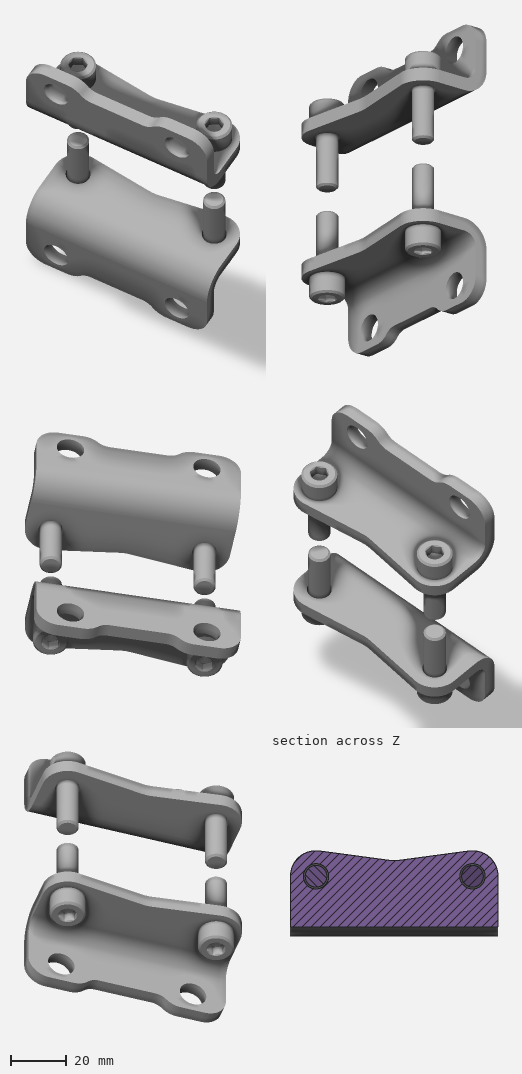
import cadquery as cq
import math

ASSEMBLY_HEIGHT = 108.0
BRACKET_LENGTH = 75.0
BRACKET_DEPTH = 31.0
BRACKET_HEIGHT = 29.0
PLATE_THICKNESS = 5.0
INNER_BEND_RADIUS = PLATE_THICKNESS
OUTER_BEND_RADIUS = INNER_BEND_RADIUS + PLATE_THICKNESS

FLANGE_CORNER_RADIUS = 8.0
MOUNTING_HOLE_DIAMETER = 10.0
MOUNTING_HOLE_SPACING = 50.0
MOUNTING_HOLE_EDGE_OFFSET = 8.0
NOTCH_DEPTH = 4.0
NOTCH_FLOOR_LENGTH = 21.3
NOTCH_FLOOR_RADIUS = 6.0
NOTCH_SHOULDER_RADIUS = 8.0

SCREW_CORNER_RADIUS = 9.3
CLEARANCE_HOLE_DIAMETER = 9.0
VALLEY_DEPTH = 3.6
VALLEY_RADIUS = 15.0

SHANK_DIAMETER = 8.0
SHANK_LENGTH = 25.0
SHANK_CHAMFER = 0.8
HEAD_DIAMETER = 13.0
HEAD_HEIGHT = 8.0
HEAD_CHAMFER = 0.8
HEAD_BASE_CHAMFER = 0.2
SOCKET_ACROSS_FLATS = 6.0
SOCKET_DEPTH = 4.0
SOCKET_POINT_ANGLE = 120.0
HEXAGON_HALF_SECTOR = 30.0

HALF_LENGTH = BRACKET_LENGTH / 2
BRACKET_TOP = ASSEMBLY_HEIGHT / 2
BRACKET_BOTTOM = BRACKET_TOP - BRACKET_HEIGHT
SEAT_Z = BRACKET_BOTTOM + PLATE_THICKNESS
SCREW_X = HALF_LENGTH - SCREW_CORNER_RADIUS
SCREW_Y = BRACKET_DEPTH - SCREW_CORNER_RADIUS
SOCKET_CORNER_DIAMETER = SOCKET_ACROSS_FLATS / math.cos(math.radians(HEXAGON_HALF_SECTOR))


def bent_plate():
    """L-shaped strip of constant thickness, extruded along X."""
    plate = (
        cq.Workplane("YZ", origin=(-HALF_LENGTH, 0, 0))
        .moveTo(0, BRACKET_BOTTOM)
        .lineTo(BRACKET_DEPTH, BRACKET_BOTTOM)
        .lineTo(BRACKET_DEPTH, SEAT_Z)
        .lineTo(PLATE_THICKNESS, SEAT_Z)
        .lineTo(PLATE_THICKNESS, BRACKET_TOP)
        .lineTo(0, BRACKET_TOP)
        .close()
        .extrude(BRACKET_LENGTH)
    )
    outer_bend = cq.selectors.NearestToPointSelector((0, 0, BRACKET_BOTTOM))
    inner_bend = cq.selectors.NearestToPointSelector((0, PLATE_THICKNESS, SEAT_Z))
    plate = plate.edges(outer_bend).fillet(OUTER_BEND_RADIUS)
    return plate.edges(inner_bend).fillet(INNER_BEND_RADIUS)


def flange_outline():
    """Outline in X and Z: rounded top corners and a notch blended by pairs of tangent arcs."""
    blend_radii = NOTCH_FLOOR_RADIUS + NOTCH_SHOULDER_RADIUS
    angle = math.acos(1 - NOTCH_DEPTH / blend_radii)
    floor_x = NOTCH_FLOOR_LENGTH / 2
    floor_z = BRACKET_TOP - NOTCH_DEPTH
    shoulder_x = floor_x + blend_radii * math.sin(angle)

    def floor_arc_point(turn):
        rise = NOTCH_FLOOR_RADIUS * (1 - math.cos(turn))
        return floor_x + NOTCH_FLOOR_RADIUS * math.sin(turn), floor_z + rise

    def shoulder_arc_point(turn):
        drop = NOTCH_SHOULDER_RADIUS * (1 - math.cos(turn))
        return shoulder_x - NOTCH_SHOULDER_RADIUS * math.sin(turn), BRACKET_TOP - drop

    def corner_arc_point(turn):
        inset = FLANGE_CORNER_RADIUS
        x = HALF_LENGTH - inset + inset * math.sin(turn)
        return x, BRACKET_TOP - inset + inset * math.cos(turn)

    right_half = (
        cq.Workplane("XZ")
        .moveTo(0, BRACKET_BOTTOM)
        .lineTo(0, floor_z)
        .lineTo(floor_x, floor_z)
        .threePointArc(floor_arc_point(angle / 2), floor_arc_point(angle))
        .threePointArc(shoulder_arc_point(angle / 2), (shoulder_x, BRACKET_TOP))
        .lineTo(*corner_arc_point(0))
        .threePointArc(corner_arc_point(math.pi / 4), corner_arc_point(math.pi / 2))
        .lineTo(HALF_LENGTH, BRACKET_BOTTOM)
        .close()
        .extrude(-BRACKET_DEPTH)
    )
    return right_half.union(right_half.mirror("YZ"))


def screw_flange_outline():
    """Outline in X and Y: corners around the screws, joined by a shallow rounded valley."""
    valley_centre_y = BRACKET_DEPTH - VALLEY_DEPTH + VALLEY_RADIUS
    centre_distance = math.hypot(SCREW_X, valley_centre_y - SCREW_Y)
    centre_line_angle = math.atan2(valley_centre_y - SCREW_Y, SCREW_X)
    slope = math.asin((SCREW_CORNER_RADIUS + VALLEY_RADIUS) / centre_distance) - centre_line_angle

    def valley_point(turn):
        return VALLEY_RADIUS * math.sin(turn), valley_centre_y - VALLEY_RADIUS * math.cos(turn)

    def corner_point(turn):
        x = SCREW_X + SCREW_CORNER_RADIUS * math.sin(turn)
        return x, SCREW_Y + SCREW_CORNER_RADIUS * math.cos(turn)

    right_half = (
        cq.Workplane("XY", origin=(0, 0, BRACKET_BOTTOM))
        .moveTo(0, 0)
        .lineTo(HALF_LENGTH, 0)
        .lineTo(*corner_point(math.pi / 2))
        .threePointArc(corner_point(math.pi / 4), corner_point(-slope))
        .lineTo(*valley_point(slope))
        .threePointArc(valley_point(slope / 2), valley_point(0))
        .close()
        .extrude(BRACKET_HEIGHT)
    )
    return right_half.union(right_half.mirror("YZ"))


def make_bracket():
    """Upper bracket: the bent plate trimmed to both outlines, then drilled."""
    mounting_holes = (
        cq.Workplane("XZ", origin=(0, 0, BRACKET_TOP - MOUNTING_HOLE_EDGE_OFFSET))
        .rarray(MOUNTING_HOLE_SPACING, 1.1, 2, 1)
        .circle(MOUNTING_HOLE_DIAMETER / 2)
        .extrude(-PLATE_THICKNESS)
    )
    clearance_holes = (
        cq.Workplane("XY", origin=(0, SCREW_Y, BRACKET_BOTTOM))
        .rarray(2 * SCREW_X, 1.1, 2, 1)
        .circle(CLEARANCE_HOLE_DIAMETER / 2)
        .extrude(PLATE_THICKNESS)
    )
    trimmed = bent_plate().intersect(flange_outline()).intersect(screw_flange_outline())
    return trimmed.cut(mounting_holes).cut(clearance_holes)


def socket_recess(x):
    """Hexagonal recess, two corners along Y, with a countersunk mouth and a conical bottom."""
    head_top = SEAT_Z + HEAD_HEIGHT
    corner_radius = SOCKET_CORNER_DIAMETER / 2
    inner_radius = SOCKET_ACROSS_FLATS / 2
    point_depth = inner_radius / math.tan(math.radians(SOCKET_POINT_ANGLE / 2))
    mouth_depth = corner_radius - inner_radius
    hexagon = (
        cq.Workplane("XY", origin=(x, SCREW_Y, head_top))
        .transformed(rotate=(0, 0, HEXAGON_HALF_SECTOR))
        .polygon(6, SOCKET_CORNER_DIAMETER)
        .extrude(-SOCKET_DEPTH)
    )
    mouth = cq.Solid.makeCone(
        inner_radius, corner_radius, mouth_depth, pnt=cq.Vector(x, SCREW_Y, head_top - mouth_depth)
    )
    point = cq.Solid.makeCone(
        0, inner_radius, point_depth, pnt=cq.Vector(x, SCREW_Y, head_top - SOCKET_DEPTH - point_depth)
    )
    return hexagon.union(cq.Workplane(mouth)).union(cq.Workplane(point))


def make_screw(x):
    """Screw pointing down, with its head seated on the upper bracket's screw flange."""
    seat = cq.Workplane("XY", origin=(x, SCREW_Y, SEAT_Z))
    shank = seat.circle(SHANK_DIAMETER / 2).extrude(-SHANK_LENGTH).faces("<Z").chamfer(SHANK_CHAMFER)
    head = seat.circle(HEAD_DIAMETER / 2).extrude(HEAD_HEIGHT)
    head = head.faces(">Z").chamfer(HEAD_CHAMFER)
    head = head.faces("<Z").chamfer(HEAD_BASE_CHAMFER)
    return shank.union(head).cut(socket_recess(x))


upper_bracket = make_bracket()
upper_screws = [make_screw(side * SCREW_X) for side in (-1, 1)]
upper_bodies = [upper_bracket, *upper_screws]
lower_bodies = [body.mirror("XY") for body in upper_bodies]

result = cq.Compound.makeCompound([body.val() for body in upper_bodies + lower_bodies])